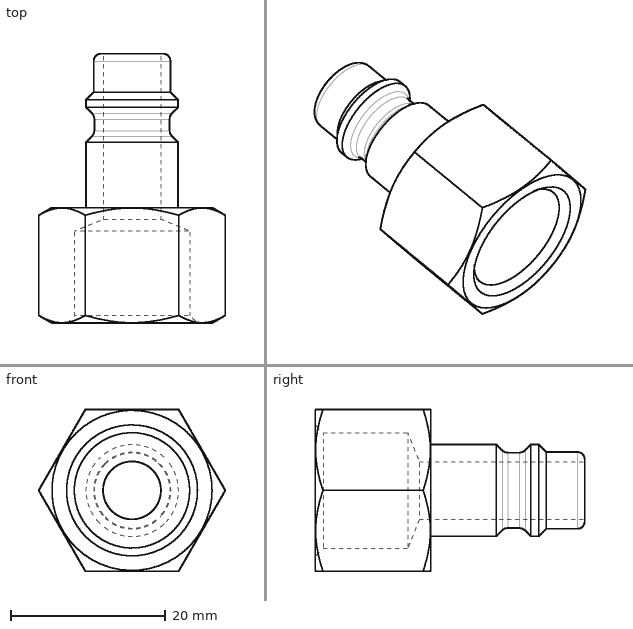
import cadquery as cq
import math

total_length = 35.0
hex_length = 15.0
across_flats = 21.0
corner_radius = across_flats / 2 / math.cos(math.radians(30))
face_radius = 10.4
corner_slope = math.tan(math.radians(30))
envelope_margin = 0.35

stem_radius = 6.0
shoulder_end = 23.5
groove_radius = 4.9
groove_start = 24.57
groove_end = 26.95
groove_fillet = 1.05
collar_start = 28.0
collar_end = 29.0
nose_start = 30.0
nose_radius = 5.0
nose_rounding = 0.98

passage_radius = 3.75
socket_radius = 7.5
socket_mouth_radius = 8.5
socket_chamfer = socket_mouth_radius - socket_radius
socket_depth = 12.0
floor_cone_length = 1.5


def revolve_about_y(points):
    """Revolve a closed (radius, y) outline around the Y axis."""
    return cq.Workplane("XY").polyline(points).close().revolve(360, (0, 0, 0), (0, 1, 0))


def make_hex():
    """Hexagonal prism with both ends turned to a cone at the corners."""
    prism = (
        cq.Workplane("XZ")
        .polygon(6, 2 * corner_radius)
        .extrude(-hex_length)
    )
    cone_radius = corner_radius + envelope_margin
    cone_length = (cone_radius - face_radius) * corner_slope
    envelope = revolve_about_y([
        (0, 0),
        (face_radius, 0),
        (cone_radius, cone_length),
        (cone_radius, hex_length - cone_length),
        (face_radius, hex_length),
        (0, hex_length),
    ])
    return prism.intersect(envelope)


def make_stem():
    """Turned stem with a rounded groove, a collar and a rounded nose."""
    stem = revolve_about_y([
        (0, hex_length / 2),
        (stem_radius, hex_length / 2),
        (stem_radius, shoulder_end),
        (groove_radius, groove_start),
        (groove_radius, groove_end),
        (stem_radius, collar_start),
        (stem_radius, collar_end),
        (nose_radius, nose_start),
        (nose_radius, total_length),
        (0, total_length),
    ])
    for y in (groove_start, groove_end):
        stem = stem.edges(cq.selectors.NearestToPointSelector((0, y, 0))).fillet(groove_fillet)
    return stem.faces(">Y").edges().fillet(nose_rounding)


def make_bore():
    """Chamfered socket with a conical floor leading into the through passage."""
    return revolve_about_y([
        (0, 0),
        (socket_mouth_radius, 0),
        (socket_radius, socket_chamfer),
        (socket_radius, socket_depth),
        (passage_radius, socket_depth + floor_cone_length),
        (passage_radius, total_length),
        (0, total_length),
    ])


result = make_hex().union(make_stem()).cut(make_bore())